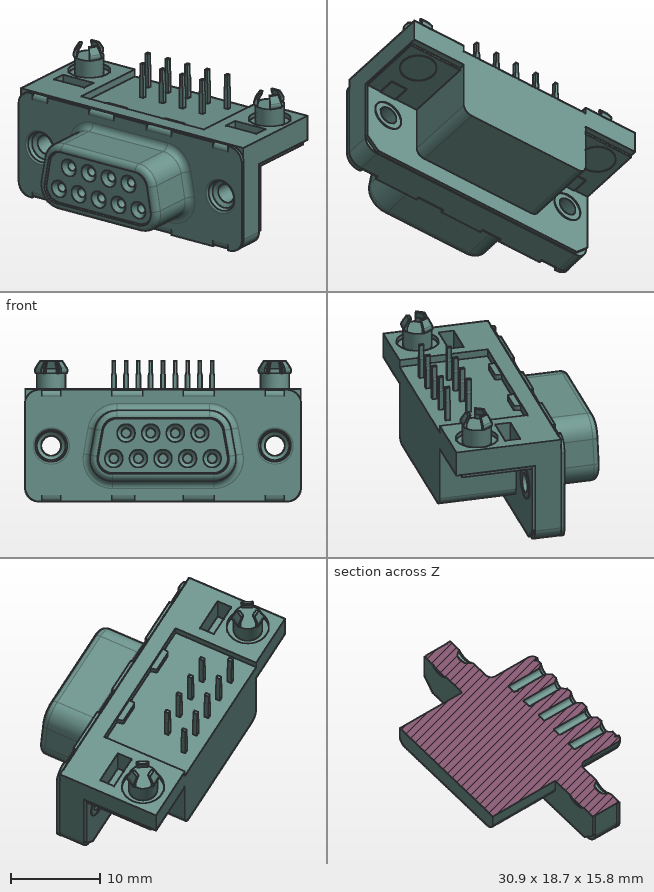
import cadquery as cq
import math


FLANGE_WIDTH = 30.9
FLANGE_HEIGHT = 12.5
FLANGE_THICKNESS = 0.4
CORNER_RADIUS = 1.6

TAB_BEND_RADIUS = 0.65
OUTER_TAB_X = 12.5
OUTER_TAB_WIDTH = 2.1
INNER_TAB_X = 4.0
INNER_TAB_WIDTH = 3.45
SHORT_TAB_WIDTH = 2.55

BODY_WIDTH = 30.8
BODY_TOP = 6.35
BODY_BOTTOM = -FLANGE_HEIGHT / 2
BODY_BACK = 12.55
LEG_BACK = 3.4
SLAB_BOTTOM = 3.45

BLOCK_WIDTH = 17.0
BLOCK_BOTTOM = -3.75
BLOCK_RADIUS = 1.05
RECESS_FLOOR = 5.5
RECESS_FRONT = 2.35
BUMP_WIDTH = 3.05
BUMP_DEPTH = 0.75
BUMP_HEIGHT = 0.6
BUMP_TAPER = 0.15
BUMP_CORNER_RADIUS = 0.2

BRACKET_WIDTH = 30.7
BRACKET_THICKNESS = 0.33
BRACKET_BACK = 11.85
BRACKET_BOTTOM = -6.1
BRACKET_CHAMFER = 1.5
RIVET_RADIUS = 2.05
COLLAR_RADIUS = 1.8
RIM_HEIGHT = 0.1
PAD_SIZE = 2.1

SHELL_LENGTH = 6.15
SHELL_RADIUS = 2.5
SHELL_CENTER_Z = 1.45
SHELL_BOTTOM_CENTER_X = 5.66
SHELL_SIDE_ANGLE = math.radians(10)
SHELL_TOP_CENTER_X = SHELL_BOTTOM_CENTER_X - 2 * SHELL_CENTER_Z * math.tan(SHELL_SIDE_ANGLE)
SHELL_ROOT_RADIUS = 0.8
SHELL_RIM_RADIUS = 0.75
SHELL_OPENING_INSET = 0.8
INSULATOR_INSET = 0.92
INSULATOR_SETBACK = 0.2
INSULATOR_GROOVE_DEPTH = 0.45

BACK_ROW_COUNT = 5
FRONT_ROW_COUNT = 4
CONTACT_PITCH = 2.75
ROW_SPACING = 2.84
CONTACT_HOLE_DIAMETER = 1.05
CONTACT_FUNNEL_DIAMETER = 2.0
CONTACT_FUNNEL_ANGLE = 80
CONTACT_HOLE_DEPTH = 5.0
PIN_TOP = 9.5
PIN_SIZE = 0.5
PIN_TIP_SIZE = 0.34
PIN_STEP_BOTTOM = 7.85
PIN_STEP_TOP = 8.15
BACK_ROW_Y = 10.87

MOUNT_X = 12.5
MOUNT_HOLE_DIAMETER = 2.2
MOUNT_MOUTH_DIAMETER = 4.04
MOUNT_LIP_RADIUS = 0.23
MOUNT_SEAT_DIAMETER = 3.2
MOUNT_SEAT_DEPTH = 0.72
MOUNT_FUNNEL_DEPTH = 1.1
LOCK_Y = 9.37
LOCK_WELL_RADIUS = 2.36
LOCK_WELL_DEPTH = 0.5
LOCK_RADIUS = 1.62
LOCK_TOP = 8.1
PRONG_INNER_RADIUS = 1.32
PRONG_INNER_BEND_Z = 8.6
PRONG_OUTER_RADIUS = 1.72
PRONG_FOOT_RADIUS = 1.6
PRONG_SHOULDER_RADIUS = 1.62
PRONG_SHOULDER_Z = 8.72
PRONG_TIP_OUTER_RADIUS = 1.14
PRONG_TIP_INNER_RADIUS = 0.83
PRONG_PLAN_RADIUS = 1.8
PRONG_ROOT_WIDTH = 1.45
PRONG_TIP_WIDTH = 0.83
PRONG_ANGLES = (90, 210, 330)

POCKET_X = 11.9
POCKET_WIDTH = 4.22
POCKET_FRONT = 4.75
POCKET_BACK = 6.5

SIDES = (-1, 1)


def box(x0, x1, y0, y1, z0, z1):
    return cq.Workplane("XY").box(x1 - x0, y1 - y0, z1 - z0, centered=False).translate((x0, y0, z0))


def wide_box(width, y0, y1, z0, z1):
    return box(-width / 2, width / 2, y0, y1, z0, z1)


def upright(x, y, radius, z0, z1):
    return cq.Workplane("XY", origin=(x, y, z0)).circle(radius).extrude(z1 - z0)


def lying(x, z, radius, y0, y1):
    return cq.Workplane("XZ", origin=(x, y0, z)).circle(radius).extrude(y0 - y1)


def row_positions(count):
    return [(i - (count - 1) / 2) * CONTACT_PITCH for i in range(count)]


def flange():
    plate = wide_box(FLANGE_WIDTH, 0, FLANGE_THICKNESS, -FLANGE_HEIGHT / 2, FLANGE_HEIGHT / 2)
    plate = plate.edges("|Y").fillet(CORNER_RADIUS)
    for x in (-OUTER_TAB_X, OUTER_TAB_X):
        for edge in SIDES:
            plate = plate.cut(tab_rounding(x, OUTER_TAB_WIDTH, edge))
    for x in (-INNER_TAB_X, INNER_TAB_X):
        plate = plate.cut(tab_rounding(x, INNER_TAB_WIDTH, 1))
    plate = plate.cut(tab_rounding(INNER_TAB_X, INNER_TAB_WIDTH, -1))
    short_tab_x = (SHORT_TAB_WIDTH - INNER_TAB_WIDTH) / 2 - INNER_TAB_X
    return plate.cut(tab_rounding(short_tab_x, SHORT_TAB_WIDTH, -1))


def tab_rounding(x, width, edge):
    """Material outside the bend of one tab; edge is 1 for the upper flange edge and -1 for the lower."""
    edge_z = FLANGE_HEIGHT / 2
    low_z = edge_z - TAB_BEND_RADIUS
    corner = box(x - width / 2, x + width / 2, 0, TAB_BEND_RADIUS, low_z, edge_z)
    bend = (
        cq.Workplane("YZ", origin=(x - width / 2, TAB_BEND_RADIUS, low_z))
        .circle(TAB_BEND_RADIUS)
        .extrude(width)
    )
    outside = corner.cut(bend)
    return outside if edge > 0 else outside.mirror("XY")


def body():
    leg = wide_box(BODY_WIDTH, FLANGE_THICKNESS, LEG_BACK, BODY_BOTTOM, BODY_TOP)
    leg = leg.edges("|Y and <Z").fillet(CORNER_RADIUS)
    slab = wide_box(BODY_WIDTH, FLANGE_THICKNESS, BODY_BACK, SLAB_BOTTOM, BODY_TOP)
    block = wide_box(BLOCK_WIDTH, FLANGE_THICKNESS, BODY_BACK, BLOCK_BOTTOM, BODY_TOP)
    block = block.edges("|Y and <Z").fillet(BLOCK_RADIUS)
    recess = wide_box(BLOCK_WIDTH, RECESS_FRONT, BODY_BACK, RECESS_FLOOR, BODY_TOP)
    housing = leg.union(slab).union(block).cut(recess)
    for x in (-INNER_TAB_X, INNER_TAB_X):
        housing = housing.union(recess_bump(x))
    for side in SIDES:
        x = side * POCKET_X
        housing = housing.cut(
            box(x - POCKET_WIDTH / 2, x + POCKET_WIDTH / 2, POCKET_FRONT, POCKET_BACK, SLAB_BOTTOM, BODY_TOP)
        )
    return housing


def recess_bump(x):
    half = BUMP_WIDTH / 2
    return (
        cq.Workplane("XY", origin=(x, RECESS_FRONT, RECESS_FLOOR))
        .polyline([(-half, 0), (half, 0), (half - BUMP_TAPER, BUMP_DEPTH), (BUMP_TAPER - half, BUMP_DEPTH)])
        .close()
        .extrude(BUMP_HEIGHT)
        .edges("|Z and >Y")
        .fillet(BUMP_CORNER_RADIUS)
    )


def bracket():
    """L-shaped sheet behind the leg and under the slab, with raised rims at the fixings."""
    plate_back = LEG_BACK + BRACKET_THICKNESS
    sheet_bottom = SLAB_BOTTOM - BRACKET_THICKNESS
    rim_bottom = sheet_bottom - RIM_HEIGHT
    upright_sheet = wide_box(BRACKET_WIDTH, LEG_BACK, plate_back, BRACKET_BOTTOM, SLAB_BOTTOM)
    upright_sheet = upright_sheet.edges("|Y and <Z").chamfer(BRACKET_CHAMFER)
    level_sheet = wide_box(BRACKET_WIDTH, LEG_BACK, BRACKET_BACK, sheet_bottom, SLAB_BOTTOM)
    sheets = upright_sheet.union(level_sheet)
    for side in SIDES:
        x = side * MOUNT_X
        sheets = sheets.union(upright(x, LOCK_Y, RIVET_RADIUS, rim_bottom, SLAB_BOTTOM))
        pad = wide_box(PAD_SIZE, LEG_BACK, plate_back + PAD_SIZE, rim_bottom, SLAB_BOTTOM)
        sheets = sheets.union(pad.translate((x, 0, 0)))
        sheets = sheets.union(lying(x, 0, COLLAR_RADIUS, LEG_BACK, plate_back + RIM_HEIGHT))
    return sheets


def d_outline(y, inset):
    """D outline at depth y: four corner arcs joined by straight sides, shrunk by inset."""
    radius = SHELL_RADIUS - inset
    low_x = SHELL_BOTTOM_CENTER_X
    high_x = SHELL_TOP_CENTER_X

    def on_corner(side, center_x, center_z, angle):
        return (side * (center_x + radius * math.cos(angle)), center_z + radius * math.sin(angle))

    up = math.pi / 2
    tilt = SHELL_SIDE_ANGLE
    top_mid = (up + tilt) / 2
    bottom_mid = (tilt - up) / 2
    z = SHELL_CENTER_Z
    return (
        cq.Workplane("XZ", origin=(0, y, 0))
        .moveTo(-high_x, z + radius)
        .lineTo(high_x, z + radius)
        .threePointArc(on_corner(1, high_x, z, top_mid), on_corner(1, high_x, z, tilt))
        .lineTo(*on_corner(1, low_x, -z, tilt))
        .threePointArc(on_corner(1, low_x, -z, bottom_mid), on_corner(1, low_x, -z, -up))
        .lineTo(-low_x, -z - radius)
        .threePointArc(on_corner(-1, low_x, -z, bottom_mid), on_corner(-1, low_x, -z, tilt))
        .lineTo(*on_corner(-1, high_x, z, tilt))
        .threePointArc(on_corner(-1, high_x, z, top_mid), (-high_x, z + radius))
        .close()
    )


def shell():
    barrel = d_outline(FLANGE_THICKNESS, 0).extrude(SHELL_LENGTH + FLANGE_THICKNESS)
    barrel = barrel.faces("<Y").edges().fillet(SHELL_RIM_RADIUS)
    groove_floor = INSULATOR_GROOVE_DEPTH - SHELL_LENGTH
    opening = d_outline(groove_floor, SHELL_OPENING_INSET).extrude(INSULATOR_GROOVE_DEPTH)
    insulator_height = INSULATOR_GROOVE_DEPTH - INSULATOR_SETBACK
    insulator = d_outline(groove_floor, INSULATOR_INSET).extrude(insulator_height)
    return barrel.cut(opening.cut(insulator))


def shell_root():
    """Concave rounding between shell and flange: a wider foot hollowed by its own fillet."""
    foot = d_outline(0, -SHELL_ROOT_RADIUS).extrude(SHELL_ROOT_RADIUS)
    sweep_path = d_outline(-SHELL_ROOT_RADIUS, -SHELL_ROOT_RADIUS)
    start = (-SHELL_TOP_CENTER_X, -SHELL_ROOT_RADIUS, SHELL_CENTER_Z + SHELL_RADIUS + SHELL_ROOT_RADIUS)
    groove = cq.Workplane("YZ", origin=start).circle(SHELL_ROOT_RADIUS).sweep(sweep_path)
    return foot.cut(groove)


def cut_contacts(part):
    rows = ((FRONT_ROW_COUNT, ROW_SPACING / 2), (BACK_ROW_COUNT, -ROW_SPACING / 2))
    points = [(x, z) for count, z in rows for x in row_positions(count)]
    return (
        part.copyWorkplane(cq.Workplane("XZ", origin=(0, INSULATOR_SETBACK - SHELL_LENGTH, 0)))
        .pushPoints(points)
        .cskHole(CONTACT_HOLE_DIAMETER, CONTACT_FUNNEL_DIAMETER, CONTACT_FUNNEL_ANGLE, CONTACT_HOLE_DEPTH)
    )


def pin(x, y):
    half = PIN_SIZE / 2
    half_tip = PIN_TIP_SIZE / 2
    profile = [
        (-half, RECESS_FLOOR),
        (half, RECESS_FLOOR),
        (half, PIN_STEP_BOTTOM),
        (half_tip, PIN_STEP_TOP),
        (half_tip, PIN_TOP),
        (-half_tip, PIN_TOP),
        (-half_tip, PIN_STEP_TOP),
        (-half, PIN_STEP_BOTTOM),
    ]
    return cq.Workplane("XZ", origin=(x, y + half, 0)).polyline(profile).close().extrude(PIN_SIZE)


def mount_hole(x):
    """Turned cut about Y: rounded lip, tapered seat, funnel and through bore."""
    bore_radius = MOUNT_HOLE_DIAMETER / 2
    seat_radius = MOUNT_SEAT_DIAMETER / 2
    mouth_radius = MOUNT_MOUTH_DIAMETER / 2
    lip_radius = mouth_radius - MOUNT_LIP_RADIUS
    lip_mid = MOUNT_LIP_RADIUS * math.sqrt(0.5)
    return (
        cq.Workplane("XY", origin=(x, 0, 0))
        .moveTo(0, 0)
        .lineTo(mouth_radius, 0)
        .threePointArc(
            (mouth_radius - lip_mid, MOUNT_LIP_RADIUS - lip_mid),
            (lip_radius, MOUNT_LIP_RADIUS),
        )
        .lineTo(seat_radius, MOUNT_SEAT_DEPTH)
        .lineTo(bore_radius, MOUNT_FUNNEL_DEPTH)
        .lineTo(bore_radius, BODY_BACK)
        .lineTo(0, BODY_BACK)
        .close()
        .revolve(360, (0, 0, 0), (0, 1, 0))
    )


def prong():
    """Spring finger along +X: bulges above the post, then leans in and narrows to its tip."""
    half_root = PRONG_ROOT_WIDTH / 2
    half_tip = PRONG_TIP_WIDTH / 2
    plan = [
        (PRONG_PLAN_RADIUS, -half_root),
        (PRONG_PLAN_RADIUS, half_root),
        (PRONG_TIP_INNER_RADIUS, half_tip),
        (PRONG_TIP_INNER_RADIUS, -half_tip),
    ]
    sheet = (
        cq.Workplane("XZ", origin=(0, half_root, 0))
        .moveTo(PRONG_INNER_RADIUS, LOCK_TOP)
        .lineTo(PRONG_FOOT_RADIUS, LOCK_TOP)
        .threePointArc(
            (PRONG_OUTER_RADIUS, (LOCK_TOP + PRONG_SHOULDER_Z) / 2),
            (PRONG_SHOULDER_RADIUS, PRONG_SHOULDER_Z),
        )
        .lineTo(PRONG_TIP_OUTER_RADIUS, PIN_TOP)
        .lineTo(PRONG_TIP_INNER_RADIUS, PIN_TOP)
        .lineTo(PRONG_INNER_RADIUS, PRONG_INNER_BEND_Z)
        .close()
        .extrude(PRONG_ROOT_WIDTH)
    )
    taper = cq.Workplane("XY", origin=(0, 0, LOCK_TOP)).polyline(plan).close().extrude(PIN_TOP - LOCK_TOP)
    return sheet.intersect(taper)


def board_lock(x):
    post = upright(x, LOCK_Y, LOCK_RADIUS, SLAB_BOTTOM, LOCK_TOP)
    for angle in PRONG_ANGLES:
        finger = prong().rotate((0, 0, 0), (0, 0, 1), angle)
        post = post.union(finger.translate((x, LOCK_Y, 0)))
    return post


def connector():
    part = body().union(flange()).union(bracket()).union(shell_root()).union(shell())
    part = cut_contacts(part)
    for x in row_positions(BACK_ROW_COUNT):
        part = part.union(pin(x, BACK_ROW_Y))
    for x in row_positions(FRONT_ROW_COUNT):
        part = part.union(pin(x, BACK_ROW_Y - ROW_SPACING))
    for side in SIDES:
        x = side * MOUNT_X
        part = part.cut(mount_hole(x))
        part = part.cut(upright(x, LOCK_Y, LOCK_WELL_RADIUS, BODY_TOP - LOCK_WELL_DEPTH, BODY_TOP))
        part = part.union(board_lock(x))
    return part


result = connector()